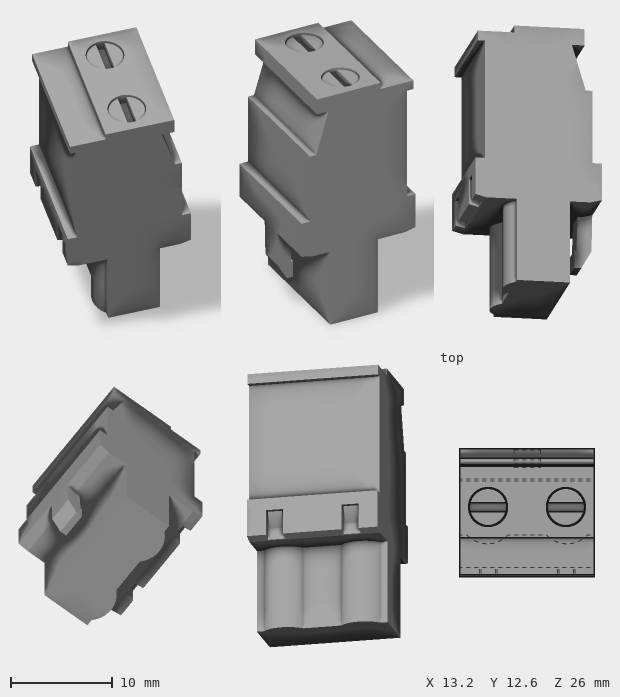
import cadquery as cq

width = 13.2
height = 26.0
pole_pitch = 7.65
pole_places = [-pole_pitch / 2, pole_pitch / 2]

housing_front = -5.93
housing_back = 4.8
housing_bottom = 9.5
cap_front = -6.63
cap_back = 4.03
cap_bottom = 24.3
cap_step_front = -3.0
cap_step_z = 25.3
slope_top_y = 2.75
slope_bottom_y = 4.13
slope_bottom_z = 19.7

skirt_front = -6.86
skirt_back = 5.75
skirt_top = 12.32
skirt_bevel_z = 8.58
flange_bottom = 8.3
skirt_bevel_run = 1.12
stem_front = -2.73
stem_back = 2.57

rib_pitch = 7.8
rib_chord = 4.0
rib_rise = 0.85

window_width = 1.72
window_top = 11.1
wedge_width = 1.4
wedge_top = 11.0
wedge_rise = 0.73

hook_width = 2.6
hook_outer_y = 5.72
hook_inner_y = 4.26
hook_heel_y = 5.65
hook_neck_y = 4.13
hook_barb_y = 3.93
hook_tip_y = 4.63
hook_barb_z = 4.85
hook_tip_z = 3.1

screw_diameter = 3.7
screw_hole_diameter = 3.8
screw_hole_depth = 2.6
screw_recess = 0.1
screw_top = height - screw_recess
screw_bottom = height - screw_hole_depth
screw_fillet = 0.18
slot_width = 0.88
slot_depth = 1.0


def extrude_along_x(outline, length, center_x=0.0):
    """Extrude a closed outline of (y, z) points along X, centred on center_x."""
    return (
        cq.Workplane("YZ", origin=(center_x, 0, 0))
        .polyline(outline)
        .close()
        .extrude(length / 2, both=True)
    )


def make_housing():
    outline = [
        (housing_front, housing_bottom),
        (housing_back, housing_bottom),
        (housing_back, slope_bottom_z),
        (slope_bottom_y, slope_bottom_z),
        (slope_top_y, cap_bottom),
        (cap_back, cap_bottom),
        (cap_back, height),
        (cap_step_front, height),
        (cap_step_front, cap_step_z),
        (cap_front, cap_step_z),
        (cap_front, cap_bottom),
        (housing_front, cap_bottom),
    ]
    body = extrude_along_x(outline, width)
    wedge_outline = [
        (housing_front, housing_bottom),
        (housing_front, wedge_top),
        (housing_front - wedge_rise, wedge_top),
    ]
    for x in pole_places:
        body = body.union(extrude_along_x(wedge_outline, wedge_width, x))
        screw_hole = (
            cq.Workplane("XY", origin=(x, 0, screw_bottom))
            .circle(screw_hole_diameter / 2)
            .extrude(screw_hole_depth)
        )
        body = body.cut(screw_hole)
    return body


def make_rib(x):
    """Rounded rib on the stem front, running from the plug tip up to the flange."""
    return (
        cq.Workplane("XY")
        .moveTo(x - rib_chord / 2, stem_front)
        .threePointArc((x, stem_front - rib_rise), (x + rib_chord / 2, stem_front))
        .close()
        .extrude(flange_bottom)
    )


def make_hook():
    """Latch hook below the back skirt, with its barb turned towards the stem."""
    outline = [
        (hook_inner_y, flange_bottom),
        (hook_inner_y, housing_bottom),
        (hook_outer_y, housing_bottom),
        (hook_outer_y, skirt_bevel_z),
        (hook_heel_y, hook_barb_z),
        (hook_tip_y, hook_tip_z),
        (hook_barb_y, hook_tip_z),
        (hook_barb_y, hook_barb_z),
        (hook_neck_y, hook_barb_z),
    ]
    return extrude_along_x(outline, hook_width)


def make_plug():
    outline = [
        (stem_front, 0),
        (stem_back, 0),
        (stem_back, flange_bottom),
        (skirt_back - skirt_bevel_run, flange_bottom),
        (skirt_back, skirt_bevel_z),
        (skirt_back, skirt_top),
        (housing_back, skirt_top),
        (housing_back, housing_bottom),
        (housing_front, housing_bottom),
        (housing_front, skirt_top),
        (skirt_front, skirt_top),
        (skirt_front, skirt_bevel_z),
        (skirt_front + skirt_bevel_run, flange_bottom),
        (stem_front, flange_bottom),
    ]
    body = extrude_along_x(outline, width)
    for x in [-rib_pitch / 2, rib_pitch / 2]:
        body = body.union(make_rib(x))
    window_outline = [
        (skirt_front, flange_bottom),
        (housing_front, flange_bottom),
        (housing_front, window_top),
        (skirt_front, window_top),
    ]
    for x in pole_places:
        body = body.cut(extrude_along_x(window_outline, window_width, x))
    return body.union(make_hook())


def make_screw(x):
    """Slotted cylindrical screw standing on the floor of its housing hole."""
    slot = cq.Workplane("XY", origin=(x, 0, screw_top - slot_depth)).box(
        screw_diameter, slot_width, slot_depth, centered=(True, True, False)
    )
    return (
        cq.Workplane("XY", origin=(x, 0, screw_bottom))
        .circle(screw_diameter / 2)
        .extrude(screw_top - screw_bottom)
        .faces(">Z")
        .edges()
        .fillet(screw_fillet)
        .cut(slot)
    )


housing = make_housing()
plug = make_plug()
screws = [make_screw(x) for x in pole_places]

result = cq.Compound.makeCompound(
    [housing.val(), plug.val(), *[screw.val() for screw in screws]]
)